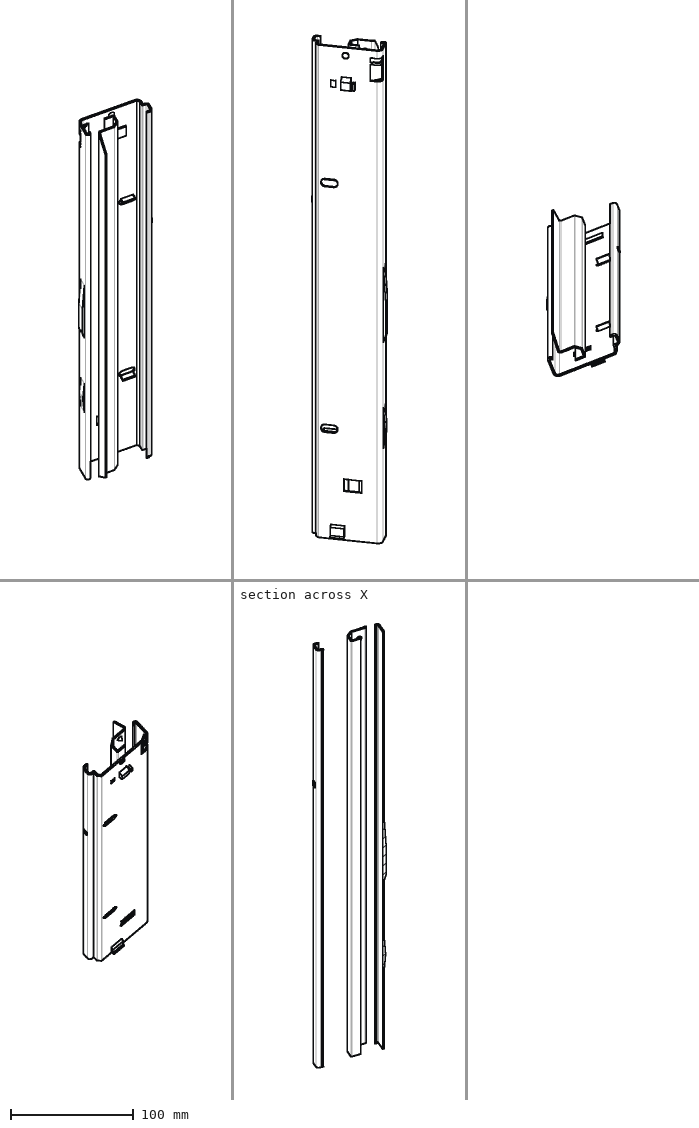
import cadquery as cq


OVERALL_HALF_X = 35.29 / 2
OVERALL_HALF_Y = 62.55 / 2

SHEET = 1.5
RAIL_TOP = 225.0
RAIL_BOTTOM = -224.0
WEB_X = -13.7
WEB_OUTER = WEB_X - SHEET / 2
WEB_INNER = WEB_X + SHEET / 2
WEB_TOP_Y = 23.3
SHOULDER_Y = 25.4
SHOULDER_X = -11.3
ARCH_X = -7.0
ARCH_Y = 29.8
ARCH_CORNER = 2.0
UPPER_LIP_X = 1.3
UPPER_LIP_Y = 25.7
LOWER_FLANGE_Y = -28.8
LOWER_BEND = 3.5
LOWER_FLANGE_END_X = 1.0
LOWER_LIP_OUT = (2.7, -27.4)
LOWER_LIP_TIP = (1.2, -25.9)

LIP_TAB_DROP = 1.0
LIP_TAB_Y = (25.05, 27.0)

STOP_BUMP_Z = 78.5
STOP_BUMP_LENGTH = 4.5
STOP_BUMP_WIDTH = 4.0

BULGE_X = (-8.1, -1.0)
SECOND_BULGE_STEP = 0.5
BULGES = (
    ((25.0, -5.0, -37.0, -43.0), -OVERALL_HALF_Y),
    ((-103.0, -121.0, -124.0, -140.0), -OVERALL_HALF_Y + SECOND_BULGE_STEP),
)

SLOT_Y = 14.2
SLOT_LENGTH = 14.0
SLOT_WIDTH = 7.0
SLOT_TAB_LENGTH = 11.0
SLOT_TAB_THICKNESS = 2.0
SLOT_TAB_REACH = 4.0
SLOTS = ((100.0, 1), (-124.0, -1))

PILOT_Y = 0.7
PILOT_Z = 217.6
PILOT_DIAMETER = 5.4
PILOT_DEPTH = 0.6

LOCK_WINDOW_Y = (-12.7, 2.2)
LOCK_WINDOW_Z = (-179.5, -168.5)

HOOK_Y = (1.5, 13.0)
HOOK_Z = (-221.3, -211.5)
HOOK_THICKNESS = 1.2
HOOK_REACH = 2.0

PRESS_Z = (197.0, 218.0)
PRESS_BAR_Z = (212.0, 214.0)
PRESS_SIZE_X = 5.3
PRESS_SIZE_Y = 8.7

INNER_SHEET = 1.3
INNER_TOP = 224.5
INNER_BOTTOM = -222.5
INNER_HOOK_X = -7.0
INNER_HOOK_END_Y = -8.3
INNER_ROOF_Y = -0.6
INNER_ROOF_END_X = 0.0
INNER_WALL_X = 3.55
INNER_BEND = 1.8
INNER_WALL_TOP_Y = -5.3
INNER_FLANGE_Y = -18.7
FLANGE_CORNER_CUT = 12.8
DIMPLE_Y = -11.8
DIMPLE_Z = 215.0
DIMPLE_RADIUS = 2.2
DIMPLE_HEIGHT = 2.7

CLIP_THICKNESS = 1.2
CLIP_Y = (-7.4, 13.0)
CLIP_Z = (186.0, 198.0)
CLIP_HEAD_Y = (-4.0, 4.0)
CLIP_TOOTH_Z = (188.0, 194.0)
CLIP_TEETH = (
    ((9.0, 13.0), WEB_OUTER),
    ((-7.4, -5.6), -OVERALL_HALF_X),
)


def box(x_range, y_range, z_range):
    """Axis-aligned block between three pairs of limits."""
    size = [b - a for a, b in (x_range, y_range, z_range)]
    return cq.Workplane("XY").box(*size, centered=False).translate((x_range[0], y_range[0], z_range[0]))


def strip(path, thickness, bottom, top):
    """Sheet of constant thickness that follows an open path in the XY plane."""
    return path.offset2D(thickness / 2).extrude(top - bottom).translate((0, 0, bottom))


def outer_profile():
    arch_side_y = ARCH_Y - ARCH_CORNER
    path = (
        cq.Workplane("XY")
        .moveTo(UPPER_LIP_X, UPPER_LIP_Y)
        .lineTo(UPPER_LIP_X, arch_side_y)
        .radiusArc((UPPER_LIP_X - ARCH_CORNER, ARCH_Y), -ARCH_CORNER)
        .lineTo(ARCH_X + ARCH_CORNER, ARCH_Y)
        .radiusArc((ARCH_X, arch_side_y), -ARCH_CORNER)
        .lineTo(ARCH_X, SHOULDER_Y)
        .lineTo(SHOULDER_X, SHOULDER_Y)
        .lineTo(WEB_X, WEB_TOP_Y)
        .lineTo(WEB_X, LOWER_FLANGE_Y + LOWER_BEND)
        .radiusArc((WEB_X + LOWER_BEND, LOWER_FLANGE_Y), -LOWER_BEND)
        .lineTo(LOWER_FLANGE_END_X, LOWER_FLANGE_Y)
        .threePointArc(LOWER_LIP_OUT, LOWER_LIP_TIP)
    )
    return strip(path.wire(), SHEET, RAIL_BOTTOM, RAIL_TOP)


def lip_tab():
    """Small tongue that extends the upper lip below the end of the rail."""
    return box(
        (UPPER_LIP_X - SHEET / 2, UPPER_LIP_X + SHEET / 2),
        LIP_TAB_Y,
        (RAIL_BOTTOM - LIP_TAB_DROP, RAIL_BOTTOM + LIP_TAB_DROP),
    )


def stop_bump():
    """Raised pad on the outside of the arch."""
    arch_middle_x = (ARCH_X + UPPER_LIP_X) / 2
    return box(
        (arch_middle_x - STOP_BUMP_WIDTH / 2, arch_middle_x + STOP_BUMP_WIDTH / 2),
        (ARCH_Y, OVERALL_HALF_Y),
        (STOP_BUMP_Z - STOP_BUMP_LENGTH / 2, STOP_BUMP_Z + STOP_BUMP_LENGTH / 2),
    )


def flange_bulge(z_marks, outer_y):
    """Trapezoidal bulge on the outside of the lower flange, with a ramp at each end."""
    ramp_start, flat_start, flat_end, ramp_end = z_marks
    root_y = LOWER_FLANGE_Y - SHEET / 2
    return (
        cq.Workplane("YZ")
        .polyline([
            (LOWER_FLANGE_Y, ramp_start),
            (root_y, ramp_start),
            (outer_y, flat_start),
            (outer_y, flat_end),
            (root_y, ramp_end),
            (LOWER_FLANGE_Y, ramp_end),
        ])
        .close()
        .extrude(BULGE_X[1] - BULGE_X[0])
        .translate((BULGE_X[0], 0, 0))
    )


def web_slot(z):
    """Round-ended slot through the web, long in Y."""
    return (
        cq.Workplane("YZ")
        .center(SLOT_Y, z)
        .slot2D(SLOT_LENGTH, SLOT_WIDTH)
        .extrude(2 * SHEET)
        .translate((WEB_X - SHEET, 0, 0))
    )


def slot_tab(z, side):
    """Tab bent inward from one long edge of a slot, square to the web."""
    edge_z = z + side * SLOT_WIDTH / 2
    tab_z = sorted((edge_z - side * SLOT_TAB_THICKNESS / 2, edge_z + side * SLOT_TAB_THICKNESS / 2))
    tab_y = (SLOT_Y - SLOT_TAB_LENGTH / 2, SLOT_Y + SLOT_TAB_LENGTH / 2)
    return box((WEB_X, WEB_INNER + SLOT_TAB_REACH), tab_y, tab_z)


def pilot_recess():
    """Shallow round recess in the outer face of the web."""
    return (
        cq.Workplane("YZ")
        .center(PILOT_Y, PILOT_Z)
        .circle(PILOT_DIAMETER / 2)
        .extrude(PILOT_DEPTH)
        .translate((WEB_OUTER, 0, 0))
    )


def bottom_hook():
    """Lanced hook near the foot of the web: a sloped tongue with a turned-out foot."""
    foot_z = HOOK_Z[0]
    outline = [
        (WEB_X, HOOK_Z[1] + HOOK_THICKNESS),
        (WEB_OUTER - HOOK_REACH, HOOK_Z[1] - HOOK_THICKNESS),
        (WEB_OUTER - HOOK_REACH, foot_z + HOOK_THICKNESS),
        (-OVERALL_HALF_X, foot_z),
        (WEB_X, foot_z + HOOK_THICKNESS),
    ]
    return (
        cq.Workplane("XZ")
        .polyline(outline)
        .close()
        .extrude(HOOK_Y[0] - HOOK_Y[1])
        .translate((0, HOOK_Y[0], 0))
    )


def press_in_corner(rail):
    """Push the lower bend inward to a flat chord, leaving one narrow bar of the bend standing."""
    corner_x = (WEB_OUTER, WEB_X + PRESS_SIZE_X)
    corner_y = (LOWER_FLANGE_Y - SHEET / 2, LOWER_FLANGE_Y + PRESS_SIZE_Y)
    rail = rail.cut(box(corner_x, corner_y, (PRESS_Z[0], PRESS_BAR_Z[0])))
    rail = rail.cut(box(corner_x, corner_y, (PRESS_BAR_Z[1], PRESS_Z[1])))
    chord = (
        cq.Workplane("XY")
        .workplane(offset=PRESS_Z[0])
        .polyline([
            (WEB_OUTER, corner_y[1]),
            (WEB_INNER, corner_y[1]),
            (corner_x[1], LOWER_FLANGE_Y + SHEET / 2),
            (corner_x[1], LOWER_FLANGE_Y - SHEET / 2),
        ])
        .close()
        .extrude(PRESS_Z[1] - PRESS_Z[0])
    )
    return rail.union(chord)


def clip_body():
    """Latch clip: a plate behind the web whose head passes out through the web window."""
    plate = box((WEB_INNER, WEB_INNER + CLIP_THICKNESS), CLIP_Y, CLIP_Z)
    clip = plate.union(clip_head())
    for y_range, outer_x in CLIP_TEETH:
        clip = clip.union(box((outer_x, WEB_INNER), y_range, CLIP_TOOTH_Z))
    return clip


def clip_head():
    """Head of the clip, tapered on its top and bottom outside the web."""
    taper = (WEB_OUTER + OVERALL_HALF_X) / 2
    outline = [
        (WEB_INNER, CLIP_Z[0]),
        (WEB_OUTER, CLIP_Z[0]),
        (-OVERALL_HALF_X, CLIP_Z[0] + taper),
        (-OVERALL_HALF_X, CLIP_Z[1] - 2 * taper),
        (WEB_OUTER, CLIP_Z[1]),
        (WEB_INNER, CLIP_Z[1]),
    ]
    return (
        cq.Workplane("XZ")
        .polyline(outline)
        .close()
        .extrude(CLIP_HEAD_Y[0] - CLIP_HEAD_Y[1])
        .translate((0, CLIP_HEAD_Y[0], 0))
    )


def outer_rail_body():
    rail = outer_profile().union(lip_tab()).union(stop_bump())
    for z_marks, outer_y in BULGES:
        rail = rail.union(flange_bulge(z_marks, outer_y))
    for z, side in SLOTS:
        rail = rail.cut(web_slot(z)).union(slot_tab(z, side))
    rail = rail.cut(pilot_recess())
    web_x = (WEB_OUTER, WEB_INNER)
    rail = rail.cut(box(web_x, LOCK_WINDOW_Y, LOCK_WINDOW_Z))
    rail = rail.cut(box(web_x, CLIP_HEAD_Y, CLIP_Z))
    for y_range, _ in CLIP_TEETH:
        rail = rail.cut(box(web_x, y_range, CLIP_TOOTH_Z))
    rail = rail.union(bottom_hook())
    return press_in_corner(rail)


def inner_rail_body():
    path = (
        cq.Workplane("XY")
        .moveTo(INNER_HOOK_X, INNER_HOOK_END_Y)
        .lineTo(INNER_HOOK_X, INNER_ROOF_Y)
        .lineTo(INNER_ROOF_END_X, INNER_ROOF_Y)
        .lineTo(INNER_WALL_X, INNER_WALL_TOP_Y)
        .lineTo(INNER_WALL_X, INNER_FLANGE_Y + INNER_BEND)
        .radiusArc((INNER_WALL_X + INNER_BEND, INNER_FLANGE_Y), -INNER_BEND)
        .lineTo(OVERALL_HALF_X + INNER_SHEET, INNER_FLANGE_Y)
    )
    rail = strip(path.wire(), INNER_SHEET, INNER_BOTTOM, INNER_TOP)
    flange_surplus = box(
        (OVERALL_HALF_X, OVERALL_HALF_X + 2 * INNER_SHEET),
        (INNER_FLANGE_Y - INNER_SHEET, INNER_FLANGE_Y + INNER_SHEET),
        (INNER_BOTTOM, INNER_TOP),
    )
    rail = rail.cut(flange_surplus)
    for end_z, inward in ((INNER_TOP, -1), (INNER_BOTTOM, 1)):
        rail = rail.cut(flange_corner(end_z, inward))
    return rail.union(wall_dimple())


def flange_corner(end_z, inward):
    """45 degree corner removed from the free edge of the flange."""
    return (
        cq.Workplane("XZ")
        .polyline([
            (OVERALL_HALF_X - FLANGE_CORNER_CUT, end_z),
            (OVERALL_HALF_X, end_z),
            (OVERALL_HALF_X, end_z + inward * FLANGE_CORNER_CUT),
        ])
        .close()
        .extrude(2 * INNER_SHEET, both=True)
        .translate((0, INNER_FLANGE_Y, 0))
    )


def wall_dimple():
    """Conical dimple on the wall, pointing toward the web."""
    cone = cq.Solid.makeCone(
        DIMPLE_RADIUS + INNER_SHEET / 2,
        INNER_SHEET / 4,
        DIMPLE_HEIGHT + INNER_SHEET / 2,
        pnt=cq.Vector(INNER_WALL_X, DIMPLE_Y, DIMPLE_Z),
        dir=cq.Vector(-1, 0, 0),
    )
    return cq.Workplane(cone)


outer_rail = outer_rail_body()
inner_rail = inner_rail_body()
latch_clip = clip_body()

result = cq.Compound.makeCompound([
    outer_rail.solids().val(),
    inner_rail.solids().val(),
    latch_clip.solids().val(),
])